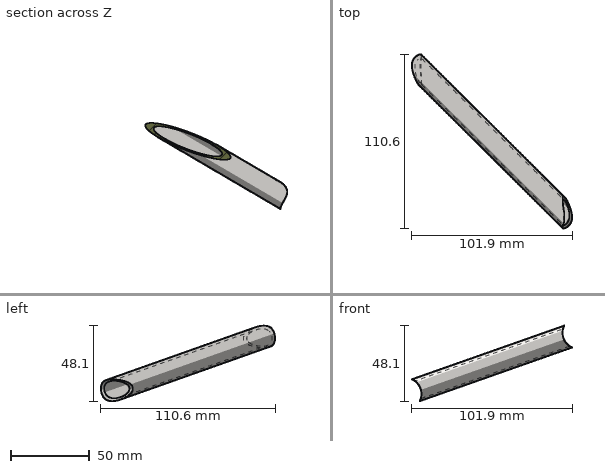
import cadquery as cq

tube_radius = 7.4
wall = 1.5
cope_radius = 10.2
half_run_x = 55.1
half_run_y = 54.7
half_rise = 19.4
end_margin = 22.2

cope_length = 4 * (half_run_y + end_margin)
axis_point = cq.Vector(half_run_x, -half_run_y, half_rise)
axis_direction = axis_point.normalized()
blank_half_length = axis_point.Length + end_margin


def make_tube():
    start = axis_direction * -blank_half_length
    plane = cq.Plane(origin=start, normal=axis_direction)
    return (
        cq.Workplane(plane)
        .circle(tube_radius)
        .circle(tube_radius - wall)
        .extrude(2 * blank_half_length)
    )


def cope_cutter(end):
    """Everything past the cope axis, plus the round saddle, at one end (+1 or -1)."""
    x = end * half_run_x
    z = end * half_rise
    saddle = (
        cq.Workplane("XZ")
        .center(x, z)
        .circle(cope_radius)
        .extrude(cope_length / 2, both=True)
    )
    beyond = (
        cq.Workplane("XY")
        .box(2 * end_margin, cope_length, 4 * end_margin)
        .translate((x + end * end_margin, 0, z))
    )
    return saddle.union(beyond)


result = make_tube()
for end in (1, -1):
    result = result.cut(cope_cutter(end))